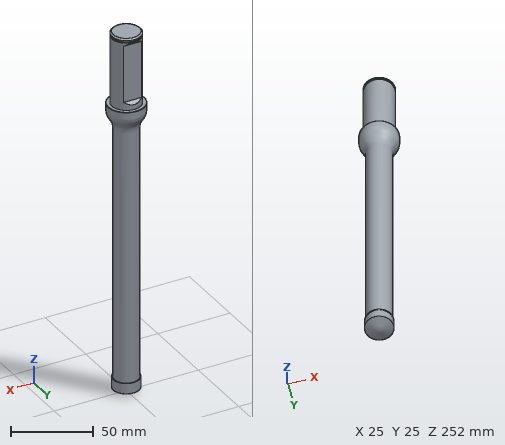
import cadquery as cq
import math

total_length = 252.0
point_height = 2.8
head_top = 10.0
flare_bottom = 184.7
flare_blend = 188.5
flange_bottom = 196.8
flange_top = 202.0
groove_bottom = 249.2
groove_top = 250.0

head_radius = 18.0 / 2
shaft_radius = 16.6 / 2
flange_radius = 25.0 / 2
shank_radius = 20.0 / 2
groove_depth = 0.3
groove_radius = shank_radius - groove_depth

blend_angle = 17.0

flange_chamfer = 0.3
shank_chamfer = 1.0

flat_offset = 7.8
flat_bottom = 207.6
flat_top = 247.0


def make_holder():
    """Shaft, flared flange and shank with a fine groove below its chamfer, revolved about Z."""
    angle = math.radians(blend_angle)
    blend_radius = shaft_radius + (flare_blend - flare_bottom) * math.tan(angle / 2)
    holder = (
        cq.Workplane("XZ")
        .moveTo(0, head_top)
        .lineTo(shaft_radius, head_top)
        .lineTo(shaft_radius, flare_bottom)
        .tangentArcPoint((blend_radius, flare_blend), relative=False)
        .spline(
            [(flange_radius, flange_bottom)],
            tangents=[(math.sin(angle), math.cos(angle)), (0, 1)],
            includeCurrent=True,
        )
        .lineTo(flange_radius, flange_top - flange_chamfer)
        .lineTo(flange_radius - flange_chamfer, flange_top)
        .lineTo(shank_radius, flange_top)
        .lineTo(shank_radius, groove_bottom)
        .lineTo(groove_radius, groove_bottom)
        .lineTo(groove_radius, groove_top)
        .lineTo(shank_radius, groove_top)
        .lineTo(shank_radius, total_length - shank_chamfer)
        .lineTo(shank_radius - shank_chamfer, total_length)
        .lineTo(0, total_length)
        .close()
        .revolve(360, (0, 0, 0), (0, 1, 0))
    )
    return holder.cut(make_flat_cutter())


def make_flat_cutter():
    """Trapezoidal prism that removes the clamping flat."""
    depth = shank_radius - flat_offset
    return (
        cq.Workplane("YZ")
        .moveTo(flat_offset, flat_bottom)
        .lineTo(shank_radius, flat_bottom - depth)
        .lineTo(shank_radius, flat_top + depth)
        .lineTo(flat_offset, flat_top)
        .close()
        .extrude(shank_radius, both=True)
    )


def make_head():
    """Drill head: a short cylinder with a shallow conical point."""
    return (
        cq.Workplane("XZ")
        .lineTo(head_radius, point_height)
        .lineTo(head_radius, head_top)
        .lineTo(0, head_top)
        .close()
        .revolve(360, (0, 0, 0), (0, 1, 0))
    )


holder = make_holder()
head = make_head()

result = cq.Compound.makeCompound([holder.val(), head.val()])